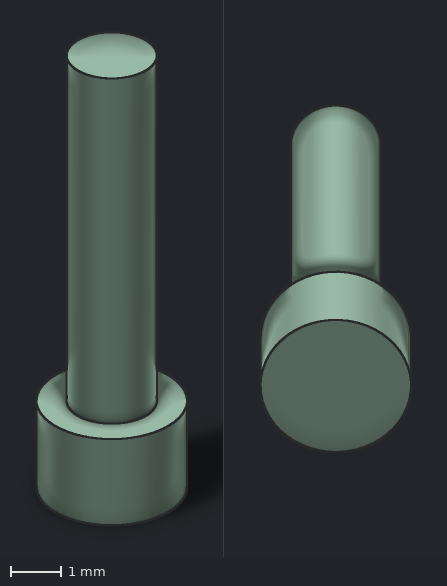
import cadquery as cq

total_height = 10.0
head_diameter = 3.0
head_height = 2.0
shank_diameter = 1.8

shank_length = total_height - head_height


def make_head():
    """Plain cylindrical head standing on the XY plane."""
    return cq.Workplane("XY").circle(head_diameter / 2).extrude(head_height)


def make_shank():
    """Straight round shank resting on the top face of the head."""
    shank_base = cq.Workplane("XY").workplane(offset=head_height)
    return shank_base.circle(shank_diameter / 2).extrude(shank_length)


head = make_head()
shank = make_shank()

result = cq.Compound.makeCompound([head.val(), shank.val()])